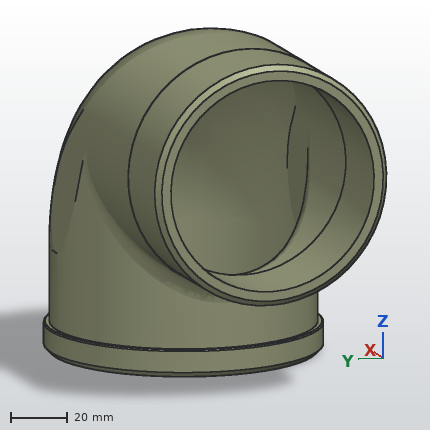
import cadquery as cq
import math

wall = 3.6
upright_radius = 96 / 2
branch_radius = 88.08 / 2
overall_height = 122.54
bend_start_height = 38.2
crotch_fillet = 8

spigot_radius = 87.88 / 2
spigot_bore_radius = 77 / 2
spigot_length = 30
spigot_end_x = -94.5
spigot_chamfer = 2

collar_radius = 100 / 2
collar_height = 10.2
collar_chamfer = 2
collar_top_bevel = 0.5

branch_height = overall_height - branch_radius
bend_radius = overall_height - upright_radius - bend_start_height
bend_axis_x = -bend_radius
spigot_inner_x = spigot_end_x + spigot_length

column_clearance = 20
tee_height = overall_height + column_clearance

beyond = 2 * overall_height


def branch_bar(radius, start_x, end_x):
    """Round bar on the branch axis, with its seam line in the symmetry plane."""
    bar = cq.Workplane("XY").circle(radius).extrude(end_x - start_x)
    return bar.rotate((0, 0, 0), (0, 1, 0), 90).translate((start_x, 0, branch_height))


def blended_tee(upright, branch, crotch):
    """Tall column with the branch entering its side, filleted all round where they meet."""
    column = cq.Workplane("XY").circle(upright).extrude(tee_height)
    joined = column.union(branch_bar(branch, spigot_inner_x, 0))
    junction_zone = cq.selectors.BoxSelector(
        (-upright, -upright, branch_height - branch),
        (0, upright, branch_height + branch),
    )
    return joined.edges(junction_zone).fillet(crotch)


def arch_envelope(upright, branch):
    """Prism along X: upright sides, flats leaning in from the bend start, and the branch arc on top."""
    rise = branch_height - bend_start_height
    lean = math.acos(branch / math.hypot(rise, upright)) - math.atan2(rise, upright)
    tangent_y = branch * math.cos(lean)
    tangent_z = branch_height + branch * math.sin(lean)
    return (
        cq.Workplane("YZ", origin=(-beyond, 0, 0))
        .moveTo(-upright, 0)
        .lineTo(upright, 0)
        .lineTo(upright, bend_start_height)
        .lineTo(tangent_y, tangent_z)
        .threePointArc((0, branch_height + branch), (-tangent_y, tangent_z))
        .lineTo(-upright, bend_start_height)
        .close()
        .extrude(2 * beyond)
    )


def outside_of_bend(upright):
    """Space above the bend start that lies behind the quarter-torus back of the elbow."""
    quarter_bend = (
        cq.Workplane("XY", origin=(bend_axis_x, 0, bend_start_height))
        .moveTo(0, -upright)
        .lineTo(bend_radius, -upright)
        .threePointArc((bend_radius + upright, 0), (bend_radius, upright))
        .lineTo(0, upright)
        .close()
        .revolve(90, (0, 1, 0), (0, 0, 0))
    )
    corner = cq.Workplane("XY").box(beyond, beyond, beyond, centered=(False, True, False))
    return corner.translate((bend_axis_x, 0, bend_start_height)).cut(quarter_bend)


def elbow(upright, branch, crotch):
    """Solid elbow: the blended tee trimmed to the back of the bend and the arch envelope."""
    tee = blended_tee(upright, branch, crotch)
    return tee.cut(outside_of_bend(upright)).intersect(arch_envelope(upright, branch))


def hollow_elbow():
    """Elbow shell: outer and passage surfaces closed by a flat ring at each open end."""
    outer = elbow(upright_radius, branch_radius, crotch_fillet)
    passage = elbow(upright_radius - wall, branch_radius - wall, crotch_fillet + wall)
    skin = []
    for body in (outer, passage):
        skin += body.faces("not(<Z or <X)").vals()
    for end in ("<Z", "<X"):
        rim = outer.faces(end).wires().val()
        opening = passage.faces(end).wires().val()
        skin.append(cq.Face.makeFromWires(rim, [opening]))
    return cq.Workplane(cq.Solid.makeSolid(cq.Shell.makeShell(skin)))


def spigot():
    """Bored free end of the branch, chamfered outside for insertion."""
    bar = branch_bar(spigot_radius, spigot_end_x, spigot_inner_x)
    bore = branch_bar(spigot_bore_radius, spigot_end_x, spigot_inner_x)
    return bar.faces("<X").chamfer(spigot_chamfer).cut(bore)


def collar():
    """Ring at the open bottom end, chamfered below and slightly bevelled above."""
    ring = cq.Workplane("XY").circle(collar_radius).extrude(collar_height)
    ring = ring.faces("<Z").chamfer(collar_chamfer).faces(">Z").chamfer(collar_top_bevel)
    opening = cq.Workplane("XY").circle(upright_radius - wall).extrude(collar_height)
    return ring.cut(opening)


result = hollow_elbow().union(spigot()).union(collar())